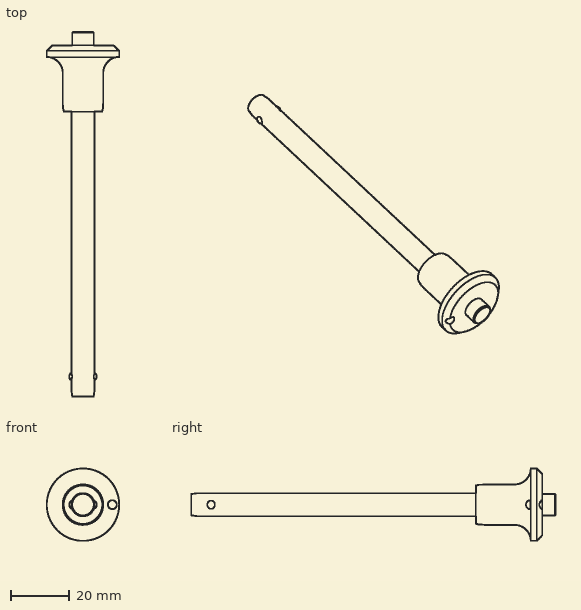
import cadquery as cq


shank_radius = 4.0
shank_length = 98.0
tip_taper_length = 2.0
tip_end_radius = 3.7

ball_radius = 1.5
ball_reach = 4.75
ball_to_tip = 6.9

handle_radius = 7.0
handle_length = 22.8
collar_length = 1.1
collar_end_radius = 6.6
collar_start_radius = 6.9
taper_length = 1.9

flange_radius = 12.5
flange_chamfer = 1.9
flange_rim_width = 2.1
flare_radius = flange_radius - handle_radius

button_radius = 3.75
button_height = 4.7
button_chamfer = 0.4

hole_diameter = 3.0
hole_offset = 10.1


def revolve_about_pin_axis(outline):
    """Revolve a closed half outline, drawn in the XY plane, about the Y axis."""
    return outline.close().revolve(360, (0, 0, 0), (0, 1, 0))


def make_shank():
    """Round shank with a tapered tip, rooted inside the handle."""
    return revolve_about_pin_axis(
        cq.Workplane("XY")
        .moveTo(0, -shank_length)
        .lineTo(tip_end_radius, -shank_length)
        .lineTo(shank_radius, tip_taper_length - shank_length)
        .lineTo(shank_radius, handle_length / 2)
        .lineTo(0, handle_length / 2)
    )


def make_handle():
    """Barrel that flares through a quarter circle into a chamfered flange."""
    barrel_start = collar_length + taper_length
    rim_top = handle_length - flange_chamfer
    rim_bottom = rim_top - flange_rim_width
    flare_start = rim_bottom - flare_radius
    return revolve_about_pin_axis(
        cq.Workplane("XY")
        .moveTo(0, 0)
        .lineTo(collar_end_radius, 0)
        .lineTo(collar_start_radius, collar_length)
        .lineTo(handle_radius, barrel_start)
        .lineTo(handle_radius, flare_start)
        .radiusArc((flange_radius, rim_bottom), flare_radius)
        .lineTo(flange_radius, rim_top)
        .lineTo(flange_radius - flange_chamfer, handle_length)
        .lineTo(0, handle_length)
    )


def make_button():
    """Release button with a chamfered edge, rooted inside the handle."""
    button_top = handle_length + button_height
    return revolve_about_pin_axis(
        cq.Workplane("XY")
        .moveTo(0, handle_length / 2)
        .lineTo(button_radius, handle_length / 2)
        .lineTo(button_radius, button_top - button_chamfer)
        .lineTo(button_radius - button_chamfer, button_top)
        .lineTo(0, button_top)
    )


def make_ball(side):
    """Locking ball on the +X (side = 1) or -X (side = -1) flank of the shank."""
    centre = (side * (ball_reach - ball_radius), ball_to_tip - shank_length, 0)
    return cq.Workplane("XY").sphere(ball_radius).translate(centre)


def make_lanyard_hole():
    """Cutter that runs through the flange parallel to the pin axis."""
    return (
        cq.Workplane("XZ")
        .center(hole_offset, 0)
        .circle(hole_diameter / 2)
        .extrude(-handle_length)
    )


handle = make_handle().cut(make_lanyard_hole())
result = handle.union(make_shank()).union(make_button())
for flank in (-1, 1):
    result = result.union(make_ball(flank))